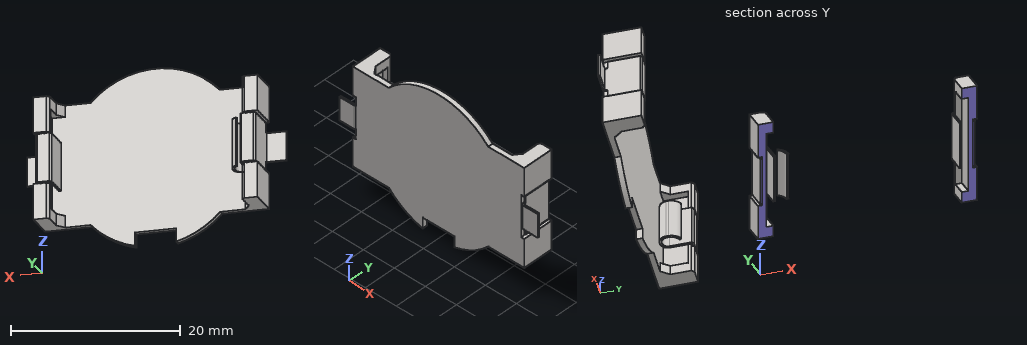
import cadquery as cq
import math


body_width = 27.68
body_height = 15.2
body_depth = 4.75
floor_thickness = 0.8
disc_radius = 11.05
notch_width = 5.12
notch_level = 9.1
wall_thickness = 1.95
wall_chamfer = 0.32
web_width = 0.77
web_height = 1.05
recess_depth = 0.5
recess_height = 6.37
pocket_depth = 0.83
pocket_height = 12.3
pocket_top = 4.0

sheet = 0.25
overall_width = 32.0
strap_height = 6.0
tab_height = 3.6
shoulder_level = 0.58
shoulder_fillet = 0.25
tab_bend_radius = 0.32
fold_chamfer = 0.22
curl_radius = 0.95
curl_rise = 0.32
tip_radius = 1.6
tip_angle = math.radians(60)

wall_outer_x = -body_width / 2
wall_inner_x = wall_outer_x + wall_thickness
recess_x = wall_outer_x + recess_depth
strap_outer_x = recess_x - sheet
strap_inner_x = wall_inner_x + sheet
tab_end_x = -overall_width / 2

saddle_level = body_depth - sheet

curl_center_x = wall_inner_x + curl_radius
curl_center_y = floor_thickness + curl_radius
curl_far_x = curl_center_x + curl_radius
tip_center_x = curl_far_x - tip_radius
tip_center_y = curl_center_y + curl_rise


def box(x_range, y_range, height):
    """Box over the given X and Y ranges, centred on Z = 0."""
    width = x_range[1] - x_range[0]
    depth = y_range[1] - y_range[0]
    return (
        cq.Workplane("XY")
        .box(width, depth, height, centered=(False, False, True))
        .translate((x_range[0], y_range[0], 0))
    )


def mirrored(body):
    """Copy of a body on the opposite X side."""
    return body.mirror("YZ")


def end_wall():
    """The -X wall with its top chamfer and its sloped web."""
    web_end_x = wall_inner_x + web_width
    return (
        cq.Workplane("XY")
        .workplane(offset=-body_height / 2)
        .moveTo(wall_outer_x, 0)
        .lineTo(web_end_x, 0)
        .lineTo(web_end_x, floor_thickness)
        .lineTo(wall_inner_x, floor_thickness + web_height)
        .lineTo(wall_inner_x, body_depth - wall_chamfer)
        .lineTo(wall_inner_x - wall_chamfer, body_depth)
        .lineTo(wall_outer_x, body_depth)
        .close()
        .extrude(body_height)
    )


def contact_seat():
    """Space cut from the -X wall: outer recess, saddle on top, inner pocket."""
    web_end_x = wall_inner_x + web_width
    recess = box((wall_outer_x, recess_x), (0, body_depth), recess_height)
    saddle = box((wall_outer_x, wall_inner_x), (saddle_level, body_depth), recess_height)
    pocket = box((wall_inner_x - pocket_depth, web_end_x), (floor_thickness, pocket_top), pocket_height)
    return recess.union(saddle).union(pocket)


def make_housing():
    plate = box((wall_outer_x, -wall_outer_x), (0, floor_thickness), body_height)
    disc = cq.Workplane("XZ").circle(disc_radius).extrude(-floor_thickness)
    rim_notch = (
        box((-notch_width / 2, notch_width / 2), (0, floor_thickness), disc_radius)
        .translate((0, 0, -notch_level - disc_radius / 2))
    )
    wall = end_wall()
    seat = contact_seat()
    return (
        plate.union(disc)
        .cut(rim_notch)
        .union(wall)
        .union(mirrored(wall))
        .cut(seat)
        .cut(mirrored(seat))
    )


def strap_start():
    """Open outline from the tab's lower face over the wall to its inner face."""
    bend_x = recess_x - tab_bend_radius
    bend_mid = tab_bend_radius * math.sin(math.radians(45))
    return (
        cq.Workplane("XY")
        .workplane(offset=-strap_height / 2)
        .moveTo(tab_end_x, 0)
        .lineTo(bend_x, 0)
        .threePointArc((bend_x + bend_mid, tab_bend_radius - bend_mid), (recess_x, tab_bend_radius))
        .lineTo(recess_x, saddle_level)
        .lineTo(wall_inner_x, saddle_level)
    )


def strap_finish(outline):
    """Close the outline from the strap's inner side back to the tab's end."""
    return (
        outline
        .lineTo(strap_inner_x, body_depth - fold_chamfer)
        .lineTo(strap_inner_x - fold_chamfer, body_depth)
        .lineTo(strap_outer_x + fold_chamfer, body_depth)
        .lineTo(strap_outer_x, body_depth - fold_chamfer)
        .lineTo(strap_outer_x, sheet)
        .lineTo(tab_end_x, sheet)
        .close()
        .extrude(strap_height)
    )


def tip_point(radius, angle):
    """Point on the curl's end arc, with the angle measured from +X."""
    return (tip_center_x + radius * math.cos(angle), tip_center_y + radius * math.sin(angle))


def curl(outline):
    """Carry the outline around the curl and back up to the strap's inner face."""
    inner_radius = curl_radius - sheet
    tip_inner_radius = tip_radius - sheet
    return (
        outline
        .lineTo(wall_inner_x, curl_center_y)
        .threePointArc((curl_center_x, floor_thickness), (curl_far_x, curl_center_y))
        .lineTo(curl_far_x, tip_center_y)
        .threePointArc(tip_point(tip_radius, tip_angle / 2), tip_point(tip_radius, tip_angle))
        .lineTo(*tip_point(tip_inner_radius, tip_angle))
        .threePointArc(tip_point(tip_inner_radius, tip_angle / 2), tip_point(tip_inner_radius, 0))
        .lineTo(curl_far_x - sheet, curl_center_y)
        .threePointArc((curl_center_x, curl_center_y - inner_radius), (strap_inner_x, curl_center_y))
    )


def narrow_tab(contact):
    """Trim the strap below its shoulders to the width of the tab."""
    tab_edge = tab_height / 2
    strap_edge = strap_height / 2
    trim_length = strap_inner_x - tab_end_x
    fillet_mid = shoulder_fillet * math.sin(math.radians(45))
    fillet_y = shoulder_level - shoulder_fillet
    fillet_z = tab_edge + shoulder_fillet
    trim = (
        cq.Workplane("YZ")
        .workplane(offset=tab_end_x)
        .moveTo(0, tab_edge)
        .lineTo(fillet_y, tab_edge)
        .threePointArc((fillet_y + fillet_mid, fillet_z - fillet_mid), (shoulder_level, fillet_z))
        .lineTo(shoulder_level, strap_edge)
        .lineTo(0, strap_edge)
        .close()
        .extrude(trim_length)
    )
    return contact.cut(trim).cut(trim.mirror("XY"))


def make_spring_contact():
    """Contact on the -X wall, ending in a springy curl."""
    return narrow_tab(strap_finish(curl(strap_start())))


def make_flat_contact():
    """Contact on the +X wall, ending straight at the floor."""
    outline = (
        strap_start()
        .lineTo(wall_inner_x, floor_thickness)
        .lineTo(strap_inner_x, floor_thickness)
    )
    return mirrored(narrow_tab(strap_finish(outline)))


housing = make_housing()
spring_contact = make_spring_contact()
flat_contact = make_flat_contact()

result = cq.Compound.makeCompound([
    housing.solids().val(),
    spring_contact.solids().val(),
    flat_contact.solids().val(),
])